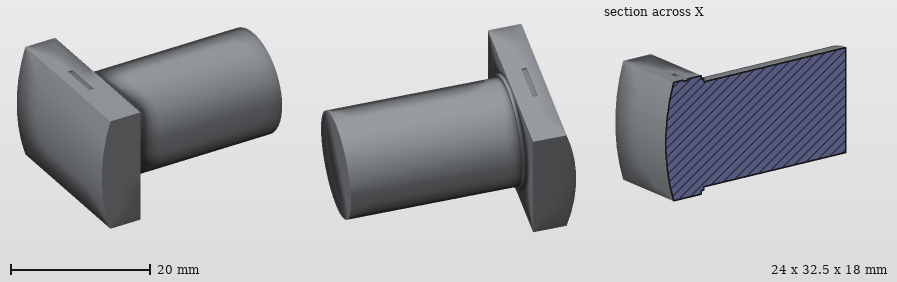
import cadquery as cq

total_length = 32.45
head_width = 24.0
head_height = 18.0

dome_rise = 1.43
body_thickness = 4.0
back_plate_thickness = 1.0
collar_thickness = 0.5

stem_diameter = 16.0
collar_diameter = 17.0

slot_length = 6.0
slot_width = 0.78
slot_depth = 0.2
slot_to_body_back = 1.82

dome_edge_y = dome_rise
body_back_y = dome_edge_y + body_thickness
head_back_y = body_back_y + back_plate_thickness
collar_back_y = head_back_y + collar_thickness


def make_head():
    """Rectangular head with a shallow cylindrical front, extruded across X."""
    half_height = head_height / 2
    return (
        cq.Workplane("YZ")
        .moveTo(head_back_y, -half_height)
        .lineTo(dome_edge_y, -half_height)
        .threePointArc((0, 0), (dome_edge_y, half_height))
        .lineTo(head_back_y, half_height)
        .close()
        .extrude(head_width / 2, both=True)
    )


def make_rod(diameter, start_y, end_y):
    """Solid cylinder along Y, centred on the head."""
    return (
        cq.Workplane("XZ", origin=(0, start_y, 0))
        .circle(diameter / 2)
        .extrude(start_y - end_y)
    )


def make_slot():
    """Shallow rectangular recess cutter at the top face."""
    return (
        cq.Workplane("XY", origin=(0, body_back_y - slot_to_body_back, head_height / 2))
        .rect(slot_length, slot_width)
        .extrude(-slot_depth)
    )


collar = make_rod(collar_diameter, head_back_y, collar_back_y)
stem = make_rod(stem_diameter, collar_back_y, total_length)
result = make_head().union(collar).union(stem).cut(make_slot())